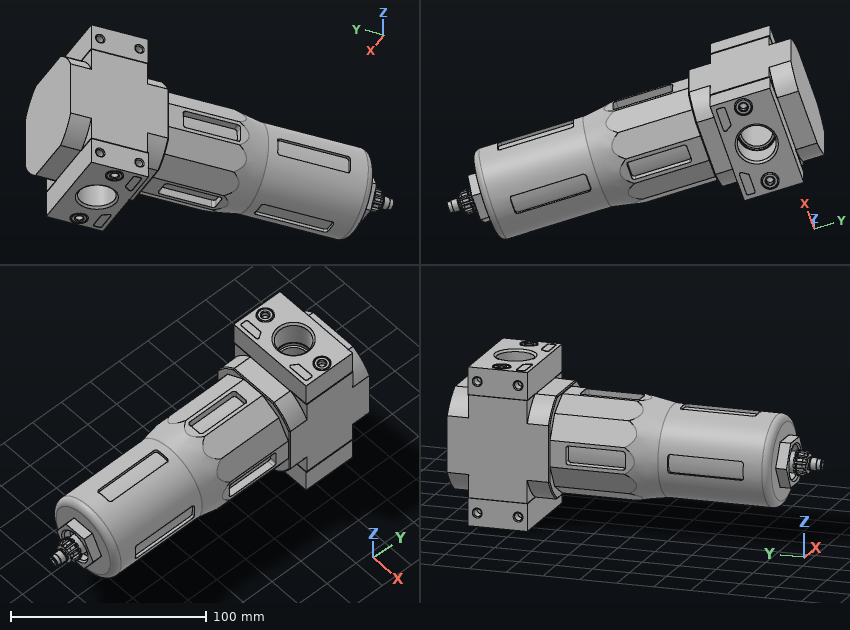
import cadquery as cq
import math


housing_width = 55.2
housing_half = housing_width / 2
housing_corner_radius = 31.5
housing_back = housing_half
housing_front = -28.0
housing_edge_chamfer = 0.5
square_block_length = 31.8

overall_height = 85.0
plate_thickness = overall_height / 2 - housing_half
plate_length = 32.2
plate_shift = -0.4
port_bore = 16.3
port_thread = 19.8
port_seat = 18.8
port_seat_depth = 2.0
port_chamfer = 1.2
side_hole_diameter = 4.0
side_hole_chamfer = 0.5
side_hole_depth = 5.8
side_hole_y = 11.0
side_hole_z = 35.2
label_depth = 0.2
label_corner_radius = 1.0
label_back = -9.1
label_front = -13.8
label_outer = 25.0
label_inner_back = 14.4
label_inner_front = 11.3

screw_x = 21.5
screw_points = [(-screw_x, 0), (screw_x, 0)]
screw_head_diameter = 9.0
screw_head_height = 5.8
screw_head_chamfer = 0.5
screw_recess_diameter = 9.3
screw_shank_diameter = 5.6
screw_length = 23.3
socket_diameter = 4.0
socket_chamfer = 0.49
socket_depth = 3.0
socket_cone_depth = 1.2

guard_sides = 12
guard_flats = 53.2
guard_corner_radius = guard_flats / 2 / math.cos(math.pi / guard_sides)
guard_corner_end = -68.4
guard_blank_radius = 28.5
guard_radius = 24.5
cone_end = -85.6
guard_bottom = -145.8
guard_bottom_fillet = 3.9
window_width = 10.1
window_corner_radius = 1.5
window_floor_radius = 22.7
window_count = 4
window_spans = [(-36.5, -68.7), (-90.9, -131.9)]

nut_sides = 6
nut_flats = 24.0
nut_bottom = -151.7
nut_recess_diameter = 18.0
nut_recess_chamfer = 1.0
nut_recess_depth = 4.9

neck_diameter = 11.3
knob_top = -152.8
knob_root_diameter = 10.5
knob_diameter = 13.2
knob_bottom = -159.2
knob_chamfer_length = 1.5
knob_chamfer_depth = 1.0
knob_groove_diameter = 12.0
knob_groove_top = -153.8
knob_groove_bottom = -154.4
tooth_count = 12
tooth_width = 1.7
spigot_diameter = 6.8
collar_diameter = 7.5
collar_top = -160.2
collar_bottom = -160.8
spigot_bottom = -164.1
nose_diameter = 6.0
nose_chamfer = 0.4
overall_length = 194.2
valve_bottom = housing_back - overall_length
valve_bore = 3.0
valve_bore_depth = 5.8


def y_cylinder(diameter, start, end):
    """Round bar along Y from Y=start forward to the lower Y=end."""
    plane = cq.Workplane("XZ", origin=(0, start, 0))
    return plane.circle(diameter / 2).extrude(start - end)


def make_housing():
    length = housing_back - housing_front
    block = cq.Workplane("XZ", origin=(0, housing_back, 0)).rect(housing_width, housing_width).extrude(length)
    rounded = block.intersect(y_cylinder(2 * housing_corner_radius, housing_back, housing_front))
    rounded = rounded.faces("<Y").chamfer(housing_edge_chamfer)
    square = cq.Workplane("XY").box(housing_width, square_block_length, housing_width)
    body = rounded.union(square)

    port = cq.Workplane("XY").circle(port_bore / 2).extrude(housing_half, both=True)
    body = body.cut(port)
    for seat_bottom in (housing_half - port_seat_depth, -housing_half):
        seat = cq.Workplane("XY", origin=(0, 0, seat_bottom)).circle(port_seat / 2).extrude(port_seat_depth)
        body = body.cut(seat)

    hole_depth = screw_length - plate_thickness
    for floor in (housing_half - hole_depth, -housing_half):
        plane = cq.Workplane("XY", origin=(0, 0, floor))
        body = body.cut(plane.pushPoints(screw_points).circle(screw_shank_diameter / 2).extrude(hole_depth))
    return body


def make_label_recess(side, top):
    """Shallow tapered recess; side is -1 or 1 along X."""
    corners = [
        (label_outer, label_back),
        (label_inner_back, label_back),
        (label_inner_front, label_front),
        (label_outer, label_front),
    ]
    outline = [(plate_shift + side * x, y) for x, y in corners]
    recess = cq.Workplane("XY", origin=(0, 0, top)).polyline(outline).close().extrude(-label_depth)
    return recess.edges("|Z").fillet(label_corner_radius)


def make_upper_plate():
    top = housing_half + plate_thickness
    plate = cq.Workplane("XY", origin=(plate_shift, 0, housing_half)).rect(housing_width, plate_length)
    plate = plate.extrude(plate_thickness)

    face = cq.Workplane("XY", origin=(0, 0, top))
    plate = plate.cut(face.circle(port_thread / 2).extrude(-plate_thickness))
    plate = plate.edges(cq.selectors.RadiusNthSelector(0)).edges(">Z").chamfer(port_chamfer)

    holes = face.pushPoints(screw_points)
    plate = plate.cut(holes.circle(screw_recess_diameter / 2).extrude(-screw_head_height))
    plate = plate.cut(holes.circle(screw_shank_diameter / 2).extrude(-plate_thickness))

    side_face = plate_shift - housing_half
    for y in (-side_hole_y, side_hole_y):
        plane = cq.Workplane("YZ", origin=(side_face, y, side_hole_z))
        hole = plane.circle(side_hole_diameter / 2).extrude(side_hole_depth)
        mouth_radius = side_hole_diameter / 2 + side_hole_chamfer
        mouth = plane.circle(mouth_radius).extrude(side_hole_chamfer, taper=45)
        plate = plate.cut(hole).cut(mouth)

    for side in (-1, 1):
        plate = plate.cut(make_label_recess(side, top))
    return plate


def make_screw():
    """Socket screw standing on Z with the top of its head at Z=0."""
    head = cq.Workplane("XY").circle(screw_head_diameter / 2).extrude(-screw_head_height)
    head = head.faces(">Z").chamfer(screw_head_chamfer)
    screw = head.union(cq.Workplane("XY").circle(screw_shank_diameter / 2).extrude(-screw_length))
    radius = socket_diameter / 2
    socket_profile = [
        (0, 0),
        (radius + socket_chamfer, 0),
        (radius, -socket_chamfer),
        (radius, -socket_depth),
        (0, -socket_depth - socket_cone_depth),
    ]
    socket = cq.Workplane("XZ").polyline(socket_profile).close().revolve(360, (0, 0, 0), (0, 1, 0))
    return screw.cut(socket)


def make_window_cutter(start, end):
    """Round-cornered cutter on the +Z side that stops at the cylindrical window floor."""
    plane = cq.Workplane("XY", origin=(0, (start + end) / 2, 0))
    cutter = plane.rect(window_width, start - end).extrude(guard_flats)
    cutter = cutter.edges("|Z").fillet(window_corner_radius)
    return cutter.cut(y_cylinder(2 * window_floor_radius, housing_front, guard_bottom))


def make_guard():
    cone_slope = (guard_corner_radius - guard_radius) / (guard_corner_end - cone_end)
    cone_start = cone_end + (guard_blank_radius - guard_radius) / cone_slope
    profile = [
        (0, housing_front),
        (guard_blank_radius, housing_front),
        (guard_blank_radius, cone_start),
        (guard_radius, cone_end),
        (guard_radius, guard_bottom),
        (0, guard_bottom),
    ]
    turned = cq.Workplane("XY").polyline(profile).close().revolve(360, (0, 0, 0), (0, 1, 0))
    turned = turned.faces("<Y").edges().fillet(guard_bottom_fillet)

    grip = cq.Workplane("XZ", origin=(0, housing_front, 0)).polygon(guard_sides, 2 * guard_corner_radius)
    grip = grip.extrude(housing_front - guard_bottom)
    grip = grip.rotate((0, 0, 0), (0, 1, 0), 180 / guard_sides)
    guard = turned.intersect(grip)

    for start, end in window_spans:
        cutter = make_window_cutter(start, end)
        for index in range(window_count):
            angle = index * 360 / window_count
            guard = guard.cut(cutter.rotate((0, 0, 0), (0, 1, 0), angle))
    return guard


def make_drain_nut():
    corner_diameter = nut_flats / math.cos(math.pi / nut_sides)
    nut = cq.Workplane("XZ", origin=(0, guard_bottom, 0)).polygon(nut_sides, corner_diameter)
    nut = nut.extrude(guard_bottom - nut_bottom)
    recess = y_cylinder(nut_recess_diameter, nut_bottom + nut_recess_depth, nut_bottom)
    nut = nut.cut(recess)
    nut = nut.edges("%CIRCLE").edges("<Y").chamfer(nut_recess_chamfer)
    return nut.cut(y_cylinder(neck_diameter, guard_bottom, nut_bottom))


def make_drain_valve():
    valve = y_cylinder(neck_diameter, guard_bottom, knob_top)
    valve = valve.union(y_cylinder(knob_root_diameter, knob_top, knob_bottom))

    teeth = y_cylinder(knob_diameter, knob_top, knob_bottom).faces("<Y")
    teeth = teeth.chamfer(knob_chamfer_length, knob_chamfer_depth)
    groove = y_cylinder(2 * knob_diameter, knob_groove_top, knob_groove_bottom)
    groove = groove.cut(y_cylinder(knob_groove_diameter, knob_groove_top, knob_groove_bottom))
    teeth = teeth.cut(groove)
    bars = cq.Workplane("XY")
    for index in range(tooth_count // 2):
        bar = cq.Workplane("XZ", origin=(0, knob_top, 0)).rect(knob_diameter, tooth_width)
        bar = bar.extrude(knob_top - knob_bottom)
        bars = bars.union(bar.rotate((0, 0, 0), (0, 1, 0), index * 360 / tooth_count))
    valve = valve.union(teeth.intersect(bars))

    valve = valve.union(y_cylinder(spigot_diameter, knob_bottom, spigot_bottom))
    valve = valve.union(y_cylinder(collar_diameter, collar_top, collar_bottom))
    nose = y_cylinder(nose_diameter, spigot_bottom, valve_bottom).faces("<Y").chamfer(nose_chamfer)
    valve = valve.union(nose)
    return valve.cut(y_cylinder(valve_bore, valve_bottom + valve_bore_depth, valve_bottom))


housing = make_housing()
guard = make_guard()
drain_nut = make_drain_nut()
drain_valve = make_drain_valve()

upper_plate = make_upper_plate()
plates = [upper_plate, upper_plate.mirror("XY")]

screws = []
for x, y in screw_points:
    upper_screw = make_screw().translate((x, y, overall_height / 2))
    screws.append(upper_screw)
    screws.append(upper_screw.mirror("XY"))

bodies = [housing, *plates, *screws, guard, drain_nut, drain_valve]
result = cq.Compound.makeCompound([body.val() for body in bodies])